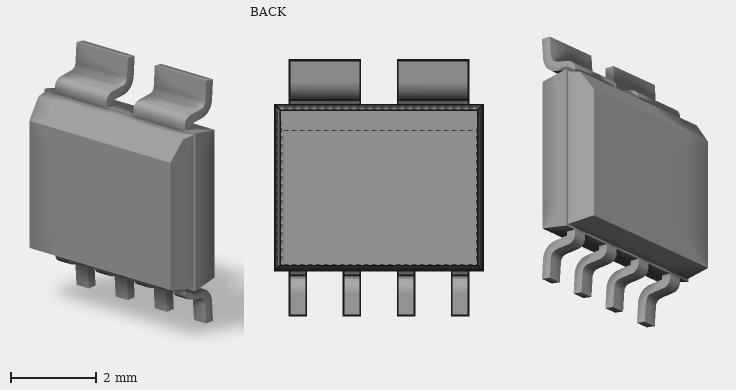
import cadquery as cq
import math

body_width = 4.89
body_height = 3.9
rear_depth = 0.79
front_depth = 0.68
draft_angle = 9.0
ledge = 0.05
bevel_start_depth = 0.31
bevel_height = 0.6

overall_height = 6.0
foot_standoff = 0.17
lead_pitch = 1.27
lead_count = 4
lead_width = 0.4
lead_thickness = 0.23
stub_length = 0.105
foot_bend_radius = 0.18
arm_slope = math.radians(9.0)
foot_tilt = math.radians(4.0)


def offset(point, direction, distance):
    """Point moved by a distance along a unit direction."""
    return (point[0] + distance * direction[0], point[1] + distance * direction[1])


def tapered_half(width, height, depth):
    """Block that narrows by the draft angle, from the parting plane toward +depth."""
    return cq.Workplane("XY").rect(width, height).extrude(depth, taper=draft_angle)


def make_body():
    rear = tapered_half(body_width, body_height, rear_depth)
    rear = rear.rotate((0, 0, 0), (1, 0, 0), -90)

    front_width = body_width - 2 * ledge
    front_height = body_height - 2 * ledge
    front = tapered_half(front_width, front_height, front_depth)
    front = front.rotate((0, 0, 0), (1, 0, 0), 90)

    draft_at_bevel = bevel_start_depth * math.tan(math.radians(draft_angle))
    bevel_top = front_height / 2 - draft_at_bevel
    bevel_bottom = body_height / 2 - bevel_height
    bevel = (
        cq.Workplane("YZ")
        .moveTo(-bevel_start_depth, bevel_top)
        .lineTo(-front_depth, bevel_bottom)
        .lineTo(-front_depth, bevel_top)
        .close()
        .extrude(body_width / 2, both=True)
    )
    return rear.union(front.cut(bevel))


def make_lead(width):
    """Lead on the body's top edge, centered on x = 0: stub, sloping arm and upright foot."""
    along_arm = (math.cos(arm_slope), math.sin(arm_slope))
    arm_normal = (-math.sin(arm_slope), math.cos(arm_slope))
    along_foot = (math.sin(foot_tilt), math.cos(foot_tilt))
    foot_normal = (-math.cos(foot_tilt), math.sin(foot_tilt))

    stub_bottom = body_height / 2
    stub_corner = (lead_thickness, stub_bottom + stub_length)
    stub_mid_angle = (math.pi / 2 + arm_slope + math.pi) / 2
    stub_mid_normal = (math.cos(stub_mid_angle), math.sin(stub_mid_angle))
    arm_start = offset(stub_corner, arm_normal, lead_thickness)

    tip_rise = lead_thickness * math.sin(foot_tilt)
    tip_back = (rear_depth + foot_standoff, overall_height / 2 - tip_rise)
    tip_front = offset(tip_back, foot_normal, lead_thickness)

    arm_offset = offset(arm_start, arm_normal, foot_bend_radius)
    foot_offset = offset(tip_front, foot_normal, foot_bend_radius)
    gap_y = foot_offset[0] - arm_offset[0]
    gap_z = foot_offset[1] - arm_offset[1]
    arm_length = (gap_y * along_foot[1] - gap_z * along_foot[0]) / math.cos(arm_slope + foot_tilt)
    bend_center = offset(arm_offset, along_arm, arm_length)
    bend_mid_angle = (math.pi / 2 + arm_slope + math.pi - foot_tilt) / 2
    bend_mid_normal = (math.cos(bend_mid_angle), math.sin(bend_mid_angle))
    inside = -foot_bend_radius
    outside = -foot_bend_radius - lead_thickness

    return (
        cq.Workplane("YZ")
        .moveTo(0, stub_bottom)
        .lineTo(0, stub_corner[1])
        .threePointArc(offset(stub_corner, stub_mid_normal, lead_thickness), arm_start)
        .lineTo(*offset(bend_center, arm_normal, inside))
        .threePointArc(
            offset(bend_center, bend_mid_normal, inside),
            offset(bend_center, foot_normal, inside),
        )
        .lineTo(*tip_front)
        .lineTo(*tip_back)
        .lineTo(*offset(bend_center, foot_normal, outside))
        .threePointArc(
            offset(bend_center, bend_mid_normal, outside),
            offset(bend_center, arm_normal, outside),
        )
        .lineTo(*stub_corner)
        .lineTo(lead_thickness, stub_bottom)
        .close()
        .extrude(width / 2, both=True)
    )


body = make_body()

wide_leads = []
for side in (-1, 1):
    wide_lead = make_lead(lead_pitch + lead_width)
    wide_leads.append(wide_lead.translate((side * lead_pitch, 0, 0)))

narrow_leads = []
for index in range(lead_count):
    lead_x = (index - (lead_count - 1) / 2) * lead_pitch
    narrow_lead = make_lead(lead_width).mirror("XY")
    narrow_leads.append(narrow_lead.translate((lead_x, 0, 0)))

leads = wide_leads + narrow_leads
result = cq.Compound.makeCompound([body.val(), *[lead.val() for lead in leads]])